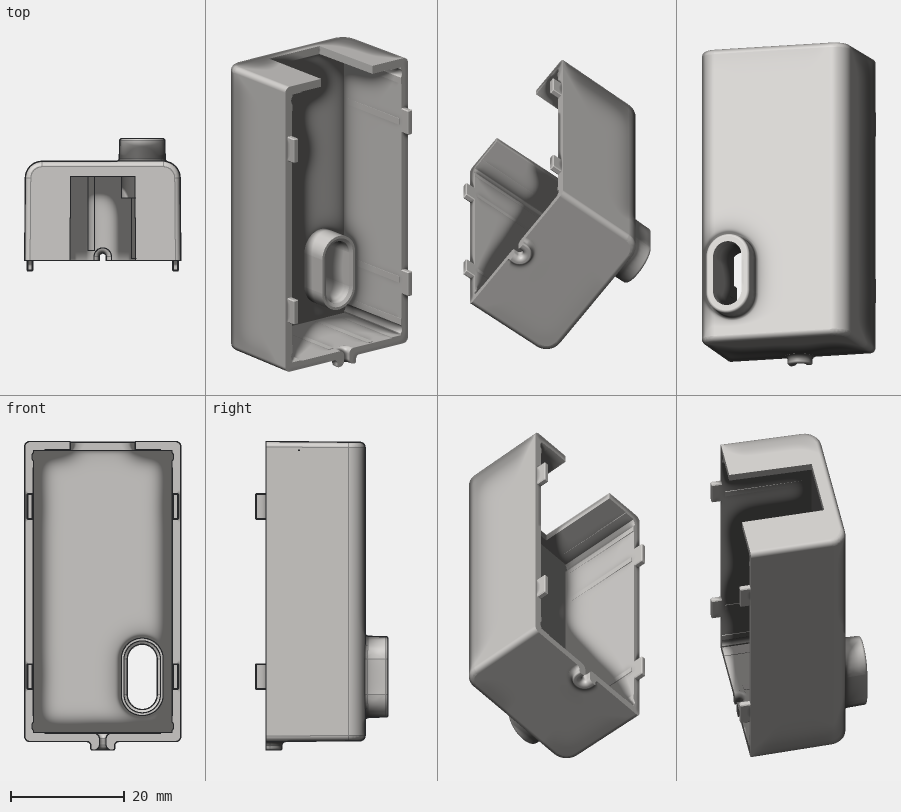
import cadquery as cq
import math


WIDTH = 27.5
HEIGHT = 52.75
DEPTH = 17.45
WALL = 1.45
DRAFT_ANGLE = 0.5
SIDE_ROUND = 3.0
EDGE_ROUND = 1.0
MID_Z = HEIGHT / 2
INNER_DEPTH = DEPTH - WALL
DRAFT = math.tan(math.radians(DRAFT_ANGLE))

CORE_HALF_WIDTH = WIDTH / 2 - WALL - DRAFT * INNER_DEPTH
CORE_HALF_HEIGHT = HEIGHT / 2 - WALL - DRAFT * INNER_DEPTH

PAD_LENGTH_X = 2.0
PAD_LENGTH_Z = 3.05
RIB_WIDTH = 1.15
FLOOR_RIBS = ((-2.05, 1.8), (5.65, 0.4))
SIDE_RIB_INSET = 11.75
SIDE_RIB_START = 0.55
WALL_OVERLAP = WALL / 2

GROOVE_RADIUS = 1.1
GROOVE_DEPTH = 0.3
GROOVE_INSET = 2.7

NOTCH_WIDTH = 11.55
NOTCH_DEPTH = 14.75

TAB_THICKNESS = 1.05
TAB_HEIGHT = 4.5
TAB_LENGTH = 1.85
TAB_INSET = 11.45
TAB_CHAMFER = 0.15

PASSAGE_X = 6.95
PASSAGE_Z = 11.4
PASSAGE_STRAIGHT = 6.25
BOSS_LENGTH = 4.0
BOSS_BASE_RADIUS = 4.1
BOSS_TIP_RADIUS = 3.95
BOSS_BASE_ROUND = 0.5
BOSS_TIP_ROUND = 0.45
COLLAR_RADIUS = 3.7
COLLAR_START = 10.95
HOLE_RADIUS = 2.6
LEAD_IN_RADIUS = 3.2
LEAD_IN_DEPTH = 0.4

LUG_DROP = 1.45
LUG_RADIUS = 2.1
LUG_CENTRE_Y = 0.7
LUG_BASE_ROUND = 0.7
LUG_TIP_ROUND = 0.3
WIRE_HOLE_RADIUS = 0.6
WIRE_HOLE_ROUND = 0.9


def block(x_range, y_range, z_range):
    """Axis-aligned box between pairs of limits."""
    lows, highs = zip(x_range, y_range, z_range)
    lengths = (high - low for low, high in zip(lows, highs))
    return cq.Workplane("XY").box(*lengths, centered=False).translate(lows)


def face_plane(y, x=0.0, z=0.0):
    """Sketch plane at depth y, with local axes +X and -Z, that extrudes to +Y."""
    return cq.Workplane(cq.Plane(origin=(x, y, z), xDir=(1, 0, 0), normal=(0, 1, 0)))


def oval(y, radius, length, taper=0.0):
    """Upright oval prism of the cable passage, running from depth y to +Y."""
    size = PASSAGE_STRAIGHT + 2 * radius
    sketch = face_plane(y, PASSAGE_X, PASSAGE_Z).slot2D(size, 2 * radius, 90)
    return sketch.extrude(length, taper=taper)


def make_box():
    box = face_plane(0, z=MID_Z).rect(WIDTH, HEIGHT).extrude(DEPTH, taper=DRAFT_ANGLE)
    box = box.edges(">Y").edges("|Z").fillet(SIDE_ROUND)
    return box.faces("<Z or >Z").edges("not <Y").fillet(EDGE_ROUND)


def make_cavity():
    opening = face_plane(0, z=MID_Z).rect(WIDTH - 2 * WALL, HEIGHT - 2 * WALL)
    return opening.extrude(INNER_DEPTH, taper=DRAFT_ANGLE)


def make_corner_pads():
    """Straight corners that fill the drafted cavity down to its core size."""
    core = face_plane(0, z=MID_Z).rect(2 * CORE_HALF_WIDTH, 2 * CORE_HALF_HEIGHT).extrude(INNER_DEPTH)
    pad_x = (CORE_HALF_WIDTH - PAD_LENGTH_X, CORE_HALF_WIDTH + WALL_OVERLAP)
    pad_z = (MID_Z + CORE_HALF_HEIGHT - PAD_LENGTH_Z, MID_Z + CORE_HALF_HEIGHT + WALL_OVERLAP)
    pad = block(pad_x, (0, INNER_DEPTH), pad_z).cut(core)
    upper = pad.union(pad.mirror("YZ"))
    return upper.union(upper.mirror("XY", (0, 0, MID_Z)))


def make_ribs():
    """Straight ribs on the floor and the side walls, level with the cavity core."""
    ribs = cq.Workplane("XY")
    half = RIB_WIDTH / 2
    floor = MID_Z - CORE_HALF_HEIGHT
    for x, start in FLOOR_RIBS:
        ribs = ribs.union(block((x - half, x + half), (start, INNER_DEPTH), (floor - WALL_OVERLAP, floor)))
    side_x = (CORE_HALF_WIDTH, CORE_HALF_WIDTH + WALL_OVERLAP)
    for z in (SIDE_RIB_INSET, HEIGHT - SIDE_RIB_INSET):
        rib = block(side_x, (SIDE_RIB_START, INNER_DEPTH), (z - half, z + half))
        ribs = ribs.union(rib).union(rib.mirror("YZ"))
    return ribs


def make_grooves():
    x = CORE_HALF_WIDTH + GROOVE_DEPTH - GROOVE_RADIUS
    z = MID_Z - GROOVE_INSET
    centres = [(-x, -z), (-x, z), (x, -z), (x, z)]
    return face_plane(0, z=MID_Z).pushPoints(centres).circle(GROOVE_RADIUS).extrude(INNER_DEPTH)


def make_notch():
    """Opening in the top wall, narrowing slightly towards the back."""
    half_front = NOTCH_WIDTH / 2
    half_back = half_front - DRAFT * NOTCH_DEPTH
    outline = [(-half_front, 0), (half_front, 0), (half_back, NOTCH_DEPTH), (-half_back, NOTCH_DEPTH)]
    return cq.Workplane("XY").workplane(offset=MID_Z).polyline(outline).close().extrude(HEIGHT)


def make_tabs():
    tabs = cq.Workplane("XY")
    half = TAB_HEIGHT / 2
    inner_x = WIDTH / 2 - WALL
    for z in (TAB_INSET, HEIGHT - TAB_INSET):
        tab = block((inner_x, inner_x + TAB_THICKNESS), (-TAB_LENGTH, WALL_OVERLAP), (z - half, z + half))
        tab = tab.edges("|Y or <Y").chamfer(TAB_CHAMFER)
        tabs = tabs.union(tab).union(tab.mirror("YZ"))
    return tabs


def make_boss():
    taper = math.degrees(math.atan((BOSS_BASE_RADIUS - BOSS_TIP_RADIUS) / (WALL + BOSS_LENGTH)))
    boss = oval(INNER_DEPTH, BOSS_BASE_RADIUS, WALL + BOSS_LENGTH, taper)
    return boss.faces(">Y").edges().fillet(BOSS_TIP_ROUND)


def add_boss(shell):
    """Boss on the back wall, with a fillet where it meets the wall and its rounded side."""
    joined = shell.union(make_boss())
    half_width = BOSS_BASE_RADIUS + BOSS_BASE_ROUND
    half_height = half_width + PASSAGE_STRAIGHT / 2
    lower = (PASSAGE_X - half_width, DEPTH - WALL, PASSAGE_Z - half_height)
    upper = (PASSAGE_X + half_width, DEPTH + BOSS_BASE_ROUND, PASSAGE_Z + half_height)
    base_edges = cq.selectors.BoxSelector(lower, upper, boundingbox=True)
    return joined.edges(base_edges).fillet(BOSS_BASE_ROUND)


def make_collar():
    return oval(COLLAR_START, COLLAR_RADIUS, DEPTH - COLLAR_START)


def make_passage_hole():
    hole = oval(COLLAR_START, HOLE_RADIUS, DEPTH + BOSS_LENGTH - COLLAR_START)
    lead_angle = math.degrees(math.atan((LEAD_IN_RADIUS - HOLE_RADIUS) / LEAD_IN_DEPTH))
    return hole.union(oval(COLLAR_START, LEAD_IN_RADIUS, LEAD_IN_DEPTH, lead_angle))


def revolved_arch(profile):
    """Half-turn of a (radius, Z) profile about the lug axis, continued straight to the open face."""
    turn = profile.revolve(360, (0, 0, 0), (0, 1, 0)).translate((0, LUG_CENTRE_Y, 0))
    section = turn.intersect(block((-WIDTH, WIDTH), (LUG_CENTRE_Y, DEPTH), (-HEIGHT, HEIGHT)))
    front = section.faces("<Y").wires().toPending().workplane().extrude(LUG_CENTRE_Y)
    return section.union(front)


def make_lug():
    """Arch-shaped lug, flared into the bottom wall and rounded at its tip."""
    flare = LUG_RADIUS + LUG_BASE_ROUND
    profile = (
        cq.Workplane("XZ")
        .moveTo(0, -LUG_DROP)
        .lineTo(LUG_RADIUS - LUG_TIP_ROUND, -LUG_DROP)
        .radiusArc((LUG_RADIUS, LUG_TIP_ROUND - LUG_DROP), -LUG_TIP_ROUND)
        .lineTo(LUG_RADIUS, -LUG_BASE_ROUND)
        .radiusArc((flare, 0), LUG_BASE_ROUND)
        .lineTo(flare, WALL_OVERLAP)
        .lineTo(0, WALL_OVERLAP)
        .close()
    )
    return revolved_arch(profile)


def make_wire_hole():
    """Arch-shaped hole, flared at the cavity floor and at the lug tip."""
    flare = WIRE_HOLE_RADIUS + WIRE_HOLE_ROUND
    profile = (
        cq.Workplane("XZ")
        .moveTo(0, -LUG_DROP)
        .lineTo(flare, -LUG_DROP)
        .radiusArc((WIRE_HOLE_RADIUS, WIRE_HOLE_ROUND - LUG_DROP), WIRE_HOLE_ROUND)
        .lineTo(WIRE_HOLE_RADIUS, WALL - WIRE_HOLE_ROUND)
        .radiusArc((flare, WALL), WIRE_HOLE_ROUND)
        .lineTo(flare, 2 * WALL)
        .lineTo(0, 2 * WALL)
        .close()
    )
    return revolved_arch(profile)


shell = add_boss(make_box()).cut(make_cavity())
shell = shell.union(make_corner_pads()).union(make_ribs()).cut(make_grooves())
shell = shell.cut(make_notch()).union(make_tabs())
shell = shell.union(make_collar()).cut(make_passage_hole())
result = shell.union(make_lug()).cut(make_wire_hole())